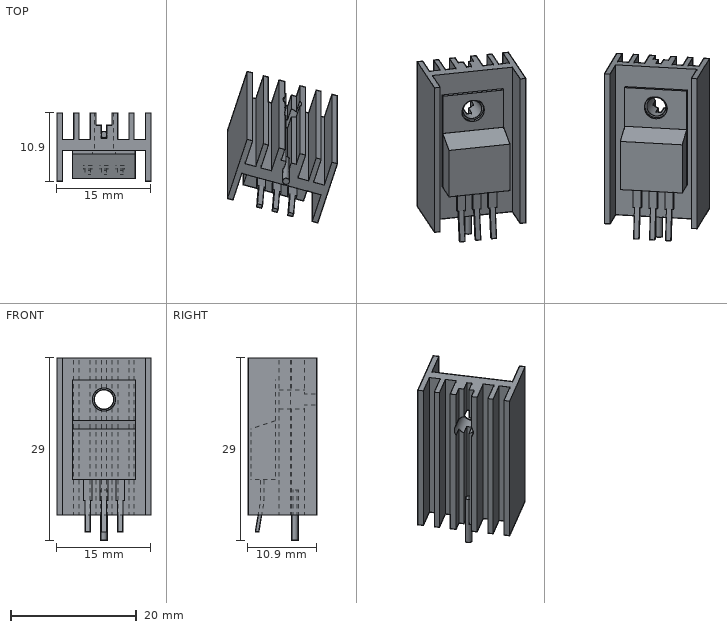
import cadquery as cq


overall_height = 29.0

sink_width = 15.0
sink_depth = 10.9
sink_height = 25.0
wall_thickness = 1.8
fin_length = 4.2
side_fin_thickness = 0.93
middle_fin_thickness = 0.85
middle_fin_offset = 4.38
block_width = 4.4
channel_width = 2.5
channel_depth = 1.97
slot_width = 0.85
slot_depth = 4.0
fin_tip_y = wall_thickness + fin_length
side_fin_front_y = fin_tip_y - sink_depth

pin_diameter = 1.07
pin_exposed_length = overall_height - sink_height
pin_buried_length = pin_exposed_length
pin_y = fin_tip_y - slot_depth + pin_diameter / 2

tab_width = 10.0
tab_thickness = 0.55
tab_bottom_z = 5.68
tab_top_z = 21.45
hole_z = 18.4
tab_hole_diameter = 3.65
sink_hole_diameter = 3.07

package_front_y = -4.47
package_front_top_z = 13.72
package_top_rise = 1.3

lead_pitch = 2.58
lead_thickness = 0.58
lead_y = -2.65
lead_upper_width = 1.33
lead_upper_length = 3.35
lead_lower_width = 0.85
lead_lower_drop = 4.95
lead_forward_lean = 0.85


def box(width, y_range, z_range):
    """Box centred on X = 0 between two Y and two Z levels."""
    y_min, y_max = y_range
    z_min, z_max = z_range
    return (
        cq.Workplane("XY")
        .box(width, y_max - y_min, z_max - z_min, centered=(True, False, False))
        .translate((0, y_min, z_min))
    )


def y_cylinder(diameter, y_min, y_max, z):
    """Cylinder along Y on the mid plane, at height z."""
    start = cq.Vector(0, y_min, z)
    direction = cq.Vector(0, 1, 0)
    return cq.Workplane(cq.Solid.makeCylinder(diameter / 2, y_max - y_min, start, direction))


def make_pin():
    return (
        cq.Workplane("XY", origin=(0, pin_y, -pin_exposed_length))
        .circle(pin_diameter / 2)
        .extrude(pin_exposed_length + pin_buried_length)
    )


def make_heatsink(pin):
    full_height = (0, sink_height)
    sink = box(sink_width, (0, wall_thickness), full_height)
    sink = sink.union(box(block_width, (0, fin_tip_y), full_height))

    side_fin = box(side_fin_thickness, (side_fin_front_y, fin_tip_y), full_height)
    middle_fin = box(middle_fin_thickness, (0, fin_tip_y), full_height)
    side_fin_offset = (sink_width - side_fin_thickness) / 2
    for side in (-1, 1):
        sink = sink.union(side_fin.translate((side * side_fin_offset, 0, 0)))
        sink = sink.union(middle_fin.translate((side * middle_fin_offset, 0, 0)))

    channel = box(channel_width, (fin_tip_y - channel_depth, fin_tip_y), full_height)
    slot = box(slot_width, (fin_tip_y - slot_depth, fin_tip_y), full_height)
    screw_hole = y_cylinder(sink_hole_diameter, 0, fin_tip_y, hole_z)
    return sink.cut(channel).cut(slot).cut(screw_hole).cut(pin)


def make_tab():
    plate = box(tab_width, (-tab_thickness, 0), (tab_bottom_z, tab_top_z))
    return plate.cut(y_cylinder(tab_hole_diameter, -tab_thickness, 0, hole_z))


def make_lead():
    """Straight wide stretch below the package, then a narrow one that leans forward."""
    bend_z = tab_bottom_z - lead_upper_length
    back_y = lead_y + lead_thickness / 2
    front_y = lead_y - lead_thickness / 2
    tip_z = bend_z - lead_lower_drop

    upper = box(lead_upper_width, (front_y, back_y), (bend_z, tab_bottom_z))
    lower = (
        cq.Workplane("YZ")
        .polyline([
            (back_y, bend_z),
            (front_y, bend_z),
            (front_y - lead_forward_lean, tip_z),
            (back_y - lead_forward_lean, tip_z),
        ])
        .close()
        .extrude(lead_lower_width / 2, both=True)
    )
    return upper.union(lower)


def make_package():
    """Moulded block with a sloped top, in one piece with its three leads."""
    package = (
        cq.Workplane("YZ")
        .polyline([
            (-tab_thickness, tab_bottom_z),
            (package_front_y, tab_bottom_z),
            (package_front_y, package_front_top_z),
            (-tab_thickness, package_front_top_z + package_top_rise),
        ])
        .close()
        .extrude(tab_width / 2, both=True)
    )
    lead = make_lead()
    for position in (-1, 0, 1):
        package = package.union(lead.translate((position * lead_pitch, 0, 0)))
    return package


pin = make_pin()
heatsink = make_heatsink(pin)
tab = make_tab()
package = make_package()

bodies = [heatsink, pin, tab, package]
result = cq.Compound.makeCompound([body.solids().val() for body in bodies])